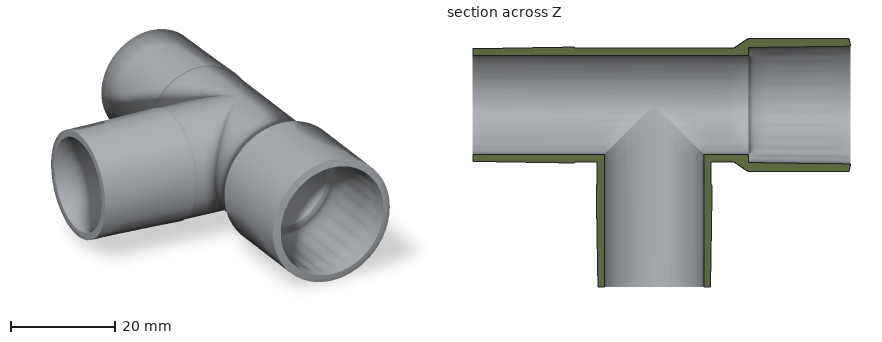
import cadquery as cq

total_length = 72.7
branch_x = 34.9
branch_reach = 35.0
spigot_length = 19.6
flare_start = 50.2
flare_end = 52.85
shoulder_fillet = 0.7
mouth_bevel_length = 0.3

bore_diameter = 19.0
body_diameter = 22.0
spigot_root_diameter = 22.4
spigot_tip_diameter = 21.75
socket_diameter = 25.6
socket_root_diameter = body_diameter
socket_mouth_diameter = 22.55

bore_radius = bore_diameter / 2
body_radius = body_diameter / 2
spigot_root_radius = spigot_root_diameter / 2
spigot_tip_radius = spigot_tip_diameter / 2
socket_radius = socket_diameter / 2
socket_root_radius = socket_root_diameter / 2
socket_mouth_radius = socket_mouth_diameter / 2


def run_outside():
    """Outer solid of the run: tapered spigot, body, rounded flare and socket with a bevelled end."""
    profile = [
        (0, 0),
        (0, spigot_tip_radius),
        (spigot_length, spigot_root_radius),
        (spigot_length, body_radius),
        (flare_start, body_radius),
        (flare_end, socket_radius),
        (total_length - mouth_bevel_length, socket_radius),
        (total_length, socket_mouth_radius),
        (total_length, 0),
    ]
    run = cq.Workplane("XY").polyline(profile).close().revolve(360, (0, 0, 0), (1, 0, 0))
    shoulder_edge = cq.selectors.BoxSelector(
        (flare_end - shoulder_fillet, -total_length, -total_length),
        (flare_end + shoulder_fillet, total_length, total_length),
    )
    return run.edges("%CIRCLE").edges(shoulder_edge).fillet(shoulder_fillet)


def branch_outside():
    """Outer solid of the branch: straight neck ending in a tapered spigot."""
    spigot_root_y = spigot_length - branch_reach
    profile = [
        (0, 0),
        (body_radius, 0),
        (body_radius, spigot_root_y),
        (spigot_root_radius, spigot_root_y),
        (spigot_tip_radius, -branch_reach),
        (0, -branch_reach),
    ]
    return (
        cq.Workplane("XY")
        .polyline(profile)
        .close()
        .revolve(360, (0, 0, 0), (0, 1, 0))
        .translate((branch_x, 0, 0))
    )


def run_bore():
    """Through bore of the run, widened to a tapered seat one spigot length deep."""
    bore = cq.Workplane("YZ").circle(bore_radius).extrude(total_length)
    socket_root_x = total_length - spigot_length
    socket_profile = [
        (socket_root_x, 0),
        (socket_root_x, socket_root_radius),
        (total_length, socket_mouth_radius),
        (total_length, 0),
    ]
    socket_bore = (
        cq.Workplane("XY").polyline(socket_profile).close().revolve(360, (0, 0, 0), (1, 0, 0))
    )
    return bore.union(socket_bore)


def branch_bore():
    """Bore of the branch, from its open end to the run axis."""
    return cq.Workplane("XZ", origin=(branch_x, 0, 0)).circle(bore_radius).extrude(branch_reach)


result = run_outside().union(branch_outside()).cut(run_bore()).cut(branch_bore())